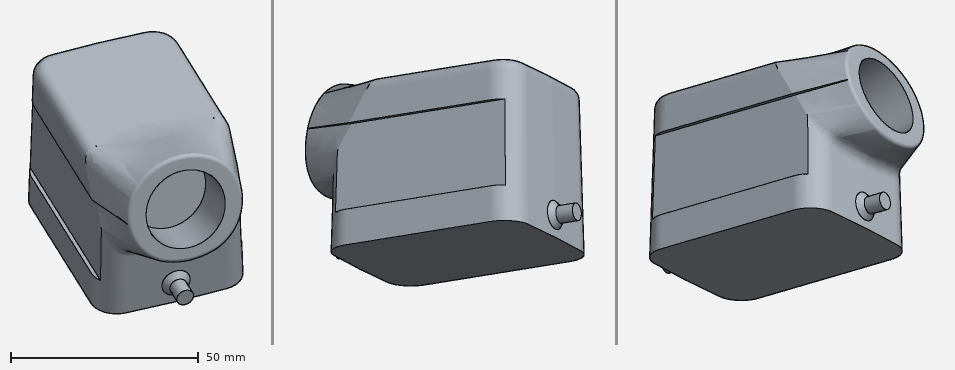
import cadquery as cq
import math

BODY_LENGTH = 60.0
BODY_WIDTH = 43.0
BODY_HEIGHT = 46.0
END_CROWN = 0.5
DRAFT = 1.3
CORNER_RADIUS = 7.4
TOP_RADIUS = 3.3

RECESS_BOTTOM = 10.0
RECESS_TOP = 34.1
RECESS_DEPTH = 1.15

PIN_DIAMETER = 4.8
PIN_SPAN = 73.0
PIN_HEIGHT = 6.2
PIN_EMBED = 3.0
ROOT_DIAMETER = 8.1
ROOT_TIP_X = 31.4
ROOT_ANGLE = 45.0

SEAM_TOP_X = 14.25
SEAM_ANGLE = math.radians(59.0)
MOUTH_ANGLE = math.radians(15.0)
MOUTH_CENTER = cq.Vector(36.87, 0, 36.5)
MOUTH_WIDTH = 32.6
MOUTH_HEIGHT = 30.96
MOUTH_ROUND = 1.0
MOUTH_EDGE_HEIGHTS = (23.4, 28.7, 35.7, 35.9, 42.8, 46.1)
SHOULDER_RADIUS = 30.0
SHOULDER_WIDTH = 33.6
THROAT_RADIUS = 3.0
BORE_DIAMETER = 22.5
BORE_DEPTH = 15.0

TOLERANCE = 0.01
OVERSHOOT = 1.0
REACH = 2 * BODY_LENGTH

SEAM_NORMAL = cq.Vector(math.sin(SEAM_ANGLE), 0, math.cos(SEAM_ANGLE))
MOUTH_NORMAL = cq.Vector(math.cos(MOUTH_ANGLE), 0, math.sin(MOUTH_ANGLE))


def half_width(z):
    """Distance from the middle plane to a long side at height z."""
    return BODY_WIDTH / 2 - z * math.tan(math.radians(DRAFT))


def seam_x(z):
    """X position of the sloping seam plane at height z."""
    return SEAM_TOP_X + (BODY_HEIGHT - z) / math.tan(SEAM_ANGLE)


def make_block():
    """Drafted block with slightly crowned end walls, rounded corners and top."""
    side_end = BODY_LENGTH / 2 - END_CROWN
    outline = [
        (side_end, -BODY_WIDTH / 2),
        (BODY_LENGTH / 2, 0),
        (side_end, BODY_WIDTH / 2),
        (-side_end, BODY_WIDTH / 2),
        (-BODY_LENGTH / 2, 0),
        (-side_end, -BODY_WIDTH / 2),
    ]
    block = cq.Workplane("XY").polyline(outline).close().extrude(BODY_HEIGHT, taper=DRAFT)
    upright = block.edges("not(#Z)")
    corners = upright.filter(lambda edge: abs(edge.Center().y) > BODY_WIDTH / 4)
    return corners.fillet(CORNER_RADIUS).faces(">Z").edges().fillet(TOP_RADIUS)


def make_recess(side):
    """Cutter for one long side; side is +1 for +Y and -1 for -Y."""
    outline = [
        (side * (half_width(RECESS_BOTTOM) - RECESS_DEPTH), RECESS_BOTTOM),
        (side * BODY_WIDTH, RECESS_BOTTOM),
        (side * BODY_WIDTH, RECESS_TOP),
        (side * (half_width(RECESS_TOP) - RECESS_DEPTH), RECESS_TOP),
    ]
    return cq.Workplane("YZ").polyline(outline).close().extrude(BODY_LENGTH / 2, both=True)


def make_seam_cutter():
    """Everything beyond the sloping plane on which the neck starts."""
    outline = [
        (seam_x(0), 0),
        (seam_x(0) + REACH, 0),
        (seam_x(0) + REACH, REACH),
        (seam_x(REACH), REACH),
    ]
    return cq.Workplane("XZ").polyline(outline).close().extrude(BODY_WIDTH, both=True)


def make_mouth_wire():
    """Oval rim of the mouth, split where the lengthwise edges of the neck arrive."""
    half_height = MOUTH_HEIGHT / 2
    rises = [(z - MOUTH_CENTER.z) / math.cos(MOUTH_ANGLE) for z in MOUTH_EDGE_HEIGHTS]
    right = [math.degrees(math.asin(rise / half_height)) for rise in rises]
    left = [180 - angle for angle in reversed(right)]
    stops = [-90] + right + left + [270]
    arcs = []
    for start, stop in zip(stops, stops[1:]):
        arc = cq.Edge.makeEllipse(
            MOUTH_WIDTH / 2, half_height, MOUTH_CENTER, MOUTH_NORMAL, cq.Vector(0, 1, 0), start, stop
        )
        arcs.append(arc)
    return cq.Wire.assembleEdges(arcs)


def make_neck(trimmed_body):
    """Ruled loft from the seam face of the trimmed body to the mouth, with a rounded rim."""
    seam_face = trimmed_body.faces(cq.selectors.DirectionMinMaxSelector(SEAM_NORMAL)).val()
    loft = cq.Solid.makeLoft([seam_face.outerWire(), make_mouth_wire()], True)
    mouth = cq.Workplane(loft).faces(cq.selectors.DirectionMinMaxSelector(MOUTH_NORMAL))
    return mouth.edges().fillet(MOUTH_ROUND)


def is_throat_edge(edge):
    """True for the edges where the underside of the neck meets the end wall."""
    points = [edge.positionAt(t) for t in (0, 0.5, 1)]
    on_seam = all(abs(p.x - seam_x(p.z)) < TOLERANCE for p in points)
    return on_seam and abs(points[0].y - points[2].y) > CORNER_RADIUS and points[1].z < BODY_HEIGHT / 2


def is_shoulder_edge(edge):
    """True for the edge where the top of the neck meets the top face."""
    points = [edge.positionAt(t) for t in (0, 0.5, 1)]
    return all(abs(p.z - BODY_HEIGHT) < TOLERANCE and abs(p.x - SEAM_TOP_X) < TOLERANCE for p in points)


def blend_shoulder(hood):
    """Blend the top of the neck into the top face, in the middle slice where they make an angle."""
    slab = cq.Workplane("XY").box(REACH, SHOULDER_WIDTH, REACH)
    slice_of_hood = hood.intersect(slab)
    return hood.union(slice_of_hood.edges().filter(is_shoulder_edge).fillet(SHOULDER_RADIUS))


def make_pin(end):
    """Pin and conical root on one end wall; end is +1 for +X and -1 for -X."""
    pin_radius = PIN_DIAMETER / 2
    root_radius = ROOT_DIAMETER / 2
    root_x = ROOT_TIP_X - (root_radius - pin_radius) / math.tan(math.radians(ROOT_ANGLE))
    buried_x = BODY_LENGTH / 2 - PIN_EMBED
    outline = [
        (end * buried_x, 0),
        (end * buried_x, root_radius),
        (end * root_x, root_radius),
        (end * ROOT_TIP_X, pin_radius),
        (end * PIN_SPAN / 2, pin_radius),
        (end * PIN_SPAN / 2, 0),
    ]
    pin = cq.Workplane("XZ").polyline(outline).close().revolve(360, (0, 0), (1, 0))
    return pin.translate((0, 0, PIN_HEIGHT))


def make_bore():
    """Blind cable bore, square to the mouth."""
    floor_center = MOUTH_CENTER - MOUTH_NORMAL * BORE_DEPTH
    bore = cq.Solid.makeCylinder(BORE_DIAMETER / 2, BORE_DEPTH + OVERSHOOT, floor_center, MOUTH_NORMAL)
    return cq.Workplane(bore)


body = make_block()
for side in (1, -1):
    body = body.cut(make_recess(side))
body = body.cut(make_seam_cutter())

result = body.union(make_neck(body))
result = result.edges().filter(is_throat_edge).fillet(THROAT_RADIUS)
result = blend_shoulder(result)
for end in (1, -1):
    result = result.union(make_pin(end))
result = result.cut(make_bore())